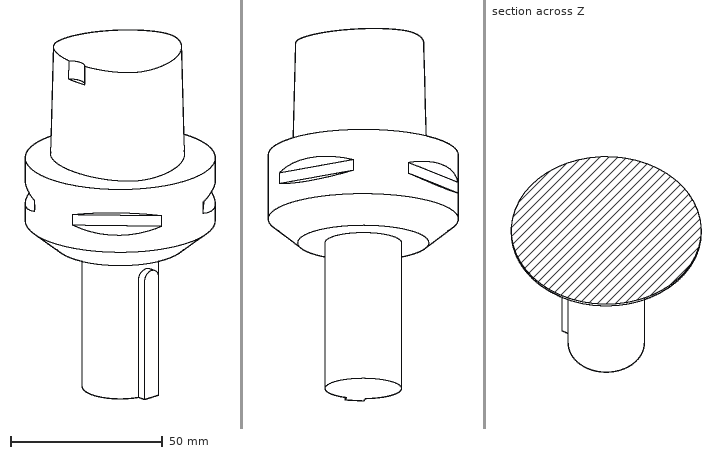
import cadquery as cq
import math

total_height = 118.0
taper_height = 37.8
cone_bottom_z = 50.0
flange_bottom_z = 58.2
flange_top_z = total_height - taper_height

shank_radius = 25.4 / 2
flange_radius = 63.0 / 2
cone_bottom_radius = 21.7

lobe_size = 1.4
taper_base_radius = 22.2
taper_ratio = 1 / 20
outline_curves = 6
curve_steps = 8
taper_top_radius = taper_base_radius - taper_height * taper_ratio / 2

notch_radius = 5.2
notch_center_y = -23.1
notch_depth = 6.4

groove_z = 68.1
groove_floor_height = 3.7
groove_floor_distance = 27.8
groove_wall_angle = 30.0
groove_count = 4
cutter_overrun = 1.2

key_width = 6.4
key_outer_x = 15.2
key_top_z = 44.6


def make_body():
    """Shank, cone and flange as one revolved profile (radius, height)."""
    profile = [
        (0, 0),
        (shank_radius, 0),
        (shank_radius, cone_bottom_z),
        (cone_bottom_radius, cone_bottom_z),
        (flange_radius, flange_bottom_z),
        (flange_radius, flange_top_z),
        (0, flange_top_z),
    ]
    return cq.Workplane("XZ").polyline(profile).close().revolve(360, (0, 0), (0, 1))


def lobed_outline_point(mean_radius, angle, z):
    """Point of the constant-width outline; angle 0 is the lobe towards +Y."""
    along = mean_radius * math.cos(angle) + 2 * lobe_size * math.cos(2 * angle)
    along -= lobe_size * math.cos(4 * angle)
    across = mean_radius * math.sin(angle) - 2 * lobe_size * math.sin(2 * angle)
    across -= lobe_size * math.sin(4 * angle)
    return cq.Vector(-across, along, z)


def lobed_wire(mean_radius, z):
    """Closed outline of alternating lobe and flank curves."""
    span = 2 * math.pi / outline_curves
    edges = []
    for curve in range(outline_curves):
        start = (curve - 0.5) * span
        angles = [start + span * step / curve_steps for step in range(curve_steps + 1)]
        points = [lobed_outline_point(mean_radius, angle, z) for angle in angles]
        tangents = [cq.Vector(-math.cos(angle), -math.sin(angle), 0) for angle in (angles[0], angles[-1])]
        edges.append(cq.Edge.makeSpline(points, tangents=tangents))
    return cq.Wire.assembleEdges(edges)


def make_taper():
    base = lobed_wire(taper_base_radius, flange_top_z)
    top = lobed_wire(taper_top_radius, total_height)
    return cq.Workplane(cq.Solid.makeLoft([base, top], True))


def make_notch():
    notch = cq.Workplane("XY", origin=(0, notch_center_y, total_height - notch_depth))
    return notch.circle(notch_radius).extrude(notch_depth)


def make_groove(angle):
    """Straight trapezoidal cutter across the flange rim, facing the given angle."""
    outer_distance = flange_radius + cutter_overrun
    half_floor = groove_floor_height / 2
    wall_rise = (outer_distance - groove_floor_distance) * math.tan(math.radians(groove_wall_angle))
    half_mouth = half_floor + wall_rise
    section = [
        (groove_floor_distance, groove_z - half_floor),
        (outer_distance, groove_z - half_mouth),
        (outer_distance, groove_z + half_mouth),
        (groove_floor_distance, groove_z + half_floor),
    ]
    cutter = cq.Workplane("XZ").polyline(section).close().extrude(flange_radius, both=True)
    return cutter.rotate((0, 0, 0), (0, 0, 1), angle)


def make_key():
    """Key open at the shank end, with a full round at its upper end."""
    half_width = key_width / 2
    round_start_z = key_top_z - half_width
    return (
        cq.Workplane("YZ")
        .moveTo(-half_width, 0)
        .lineTo(half_width, 0)
        .lineTo(half_width, round_start_z)
        .threePointArc((0, key_top_z), (-half_width, round_start_z))
        .close()
        .extrude(key_outer_x)
    )


result = make_body().union(make_taper()).union(make_key()).cut(make_notch())
for index in range(groove_count):
    result = result.cut(make_groove(45 + index * 360 / groove_count))